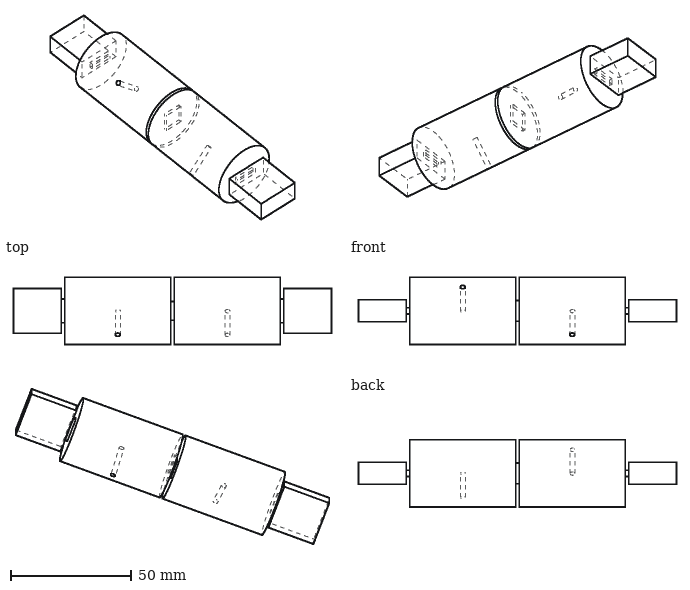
import cadquery as cq

total_length = 132.2
tang_length = 20.0
gap = 1.3
barrel_length = (total_length - 2 * tang_length - 3 * gap) / 2

barrel_diameter = 28.0
tang_width = 18.8
tang_height = 9.3
neck_width = 9.9
neck_height = 2.8
link_width = 8.0
link_height = 8.7

pin_hole_diameter = 2.0
pin_hole_depth = barrel_diameter / 2

barrel_center = (gap + barrel_length) / 2
neck_center = barrel_center + (barrel_length + gap) / 2
tang_center = neck_center + (gap + tang_length) / 2


def barrel(center_x):
    plane = cq.Workplane("YZ", origin=(center_x - barrel_length / 2, 0, 0))
    return plane.circle(barrel_diameter / 2).extrude(barrel_length)


def bar(center_x, length, width, height):
    """Rectangular block centred on the X axis; used for the tangs, necks and link."""
    return cq.Workplane("XY").box(length, width, height).translate((center_x, 0, 0))


def pin_hole(center_x, z_direction):
    """Drill running from the barrel surface to its axis, halfway between -Y and +/-Z."""
    axis = cq.Vector(0, -1, z_direction)
    plane = cq.Plane(origin=(center_x, 0, 0), xDir=(1, 0, 0), normal=axis.toTuple())
    return cq.Workplane(plane).circle(pin_hole_diameter / 2).extrude(pin_hole_depth)


result = bar(0, gap, link_width, link_height)

for side in (-1, 1):
    result = result.union(barrel(side * barrel_center))
    result = result.union(bar(side * neck_center, gap, neck_width, neck_height))
    result = result.union(bar(side * tang_center, tang_length, tang_width, tang_height))

for side in (-1, 1):
    result = result.cut(pin_hole(side * barrel_center, -side))